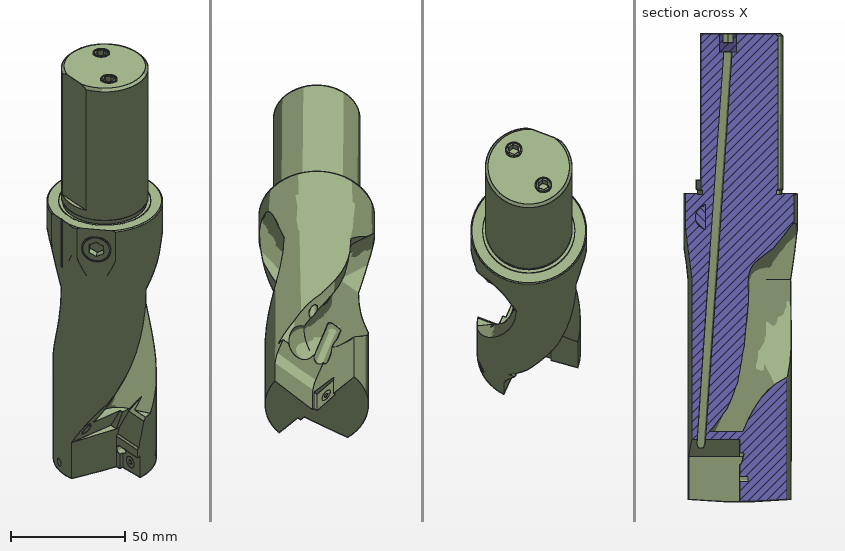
import cadquery as cq
import math


total_height = 205.26
shank_length = 70.0
collar_length = 15.4
cone_length = 22.3
collar_top = total_height - shank_length
collar_bottom = collar_top - collar_length
flute_top = collar_bottom - cone_length

shank_radius = 19.05
collar_radius = 25.4
body_radius = 22.65
tip_flat_radius = 4.0
tip_rise = 1.2
shank_chamfer = 1.2
collar_chamfer = 0.5
neck_radius = 18.5
neck_height = 1.8
neck_chamfer = 0.5
undercut_radius = 20.2
undercut_depth = 0.5

shank_flat_distance = 17.15
shank_flat_length = 64.2
collar_flat_distance = 24.4
plug_flat_distance = 23.9
plug_flat_angle = -48.0
mark_width = 0.7
mark_depth = 0.2
mark_bottom = 109.2

twist_rate = 0.01717
flute_sections = 9
flute_wall_x = -2.5
flute_radius = 10.7
flute_centre_x = flute_wall_x - flute_radius
flute_centre_y = -11.5
lip_angle = 120.0
lip_slope = 32.0
flute_reach = 34.0
channel_direction = cq.Vector(-0.6, -1.09, 1.0)
runout_direction = cq.Vector(-0.32, -0.85, 1.15)
runout_height = 24.5
inner_flute_end = 25.5
outer_flute_end = 31.0
outer_flute_angle = 195.0

reach = 60.0
tip_clearance = 1.0
inner_wall_x = 2.5
inner_wall_height = 11.3
roof_radius = 18.4
roof_angle = 30.4
inner_rake_rim_y = -1.67
inner_rake_core_y = 0.2
inner_seat_left = -10.2
inner_seat_right = 1.6
inner_seat_height = 11.7
outer_wall_rim_x = 4.3
outer_wall_core_x = 8.1
outer_pocket_height = 20.0
outer_roof_height = 38.0
outer_roof_x = 15.0
ramp_top_x = 18.0
outer_rake_y = 0.0
ramp_profile = [(outer_rake_y, 16.3), (0.8, 17.1), (4.0, 29.5), (14.0, 43.0)]
outer_seat_left = 10.5
outer_seat_right = body_radius + 1.0
outer_seat_height = 12.2
outer_seat_y = 1.67
relief_radius = 2.1
relief_depth = 2.0

screw_radius = 1.75
screw_head_radius = 2.7
screw_head_depth = 1.0
screw_socket_radius = 1.0
screw_socket_depth = 0.8
inner_screw_x = -4.3
inner_screw_z = 5.4
outer_screw_x = 15.7
outer_screw_z = 5.8

top_plug_radius = 3.6
top_plug_length = 8.0
top_plug_socket = 4.2
top_plug_centres = [(-9.2, 5.5), (9.2, -5.1)]
side_plug_radius = 6.5
side_plug_length = 7.0
side_plug_socket = 6.5
side_plug_z = collar_top - 10.4
plug_chamfer = 0.6

duct_radius = 1.8
duct_exits = [(-13.3, 14.2, 40.0), (8.1, -17.0, 23.7)]
groove_radius = 3.3
groove_start = cq.Vector(-7.0, -3.8, 52.5)
groove_end = cq.Vector(-6.0, 2.6, 27.0)


def turned_blank():
    neck_top = collar_top + neck_height
    profile = [
        (0, 0),
        (tip_flat_radius, 0),
        (body_radius, tip_rise),
        (body_radius, flute_top),
        (collar_radius, collar_bottom),
        (collar_radius, collar_top - collar_chamfer),
        (collar_radius - collar_chamfer, collar_top),
        (undercut_radius, collar_top),
        (undercut_radius, collar_top - undercut_depth),
        (neck_radius, collar_top - undercut_depth),
        (neck_radius, neck_top - neck_chamfer),
        (shank_radius, neck_top),
        (shank_radius, total_height - shank_chamfer),
        (shank_radius - shank_chamfer, total_height),
        (0, total_height),
    ]
    return cq.Workplane("XZ").polyline(profile).close().revolve(360, (0, 0), (0, 1))


def box_between(x_range, y_range, z_range):
    return (
        cq.Workplane("XY")
        .box(
            x_range[1] - x_range[0],
            y_range[1] - y_range[0],
            z_range[1] - z_range[0],
            centered=False,
        )
        .translate((x_range[0], y_range[0], z_range[0]))
    )


def collar_flat(distance, angle):
    cutter = box_between((distance, reach), (-reach, reach), (flute_top, collar_top))
    return cutter.rotate((0, 0, 0), (0, 0, 1), angle)


def cylinder_between(start, end, radius):
    axis = end - start
    return cq.Workplane(cq.Solid.makeCylinder(radius, axis.Length, start, axis))


def on_flute_arc(angle):
    return (
        flute_centre_x + flute_radius * math.cos(math.radians(angle)),
        flute_centre_y + flute_radius * math.sin(math.radians(angle)),
    )


def flute_section(z, angle):
    """J-shaped flute outline, open past the body surface, turned about Z."""
    lip = on_flute_arc(lip_angle)
    outer_y = lip[1] + (lip[0] + flute_reach) * math.tan(math.radians(lip_slope))
    outline = (
        cq.Workplane("XY")
        .moveTo(-flute_reach, outer_y)
        .lineTo(*lip)
        .threePointArc(on_flute_arc(lip_angle / 2), on_flute_arc(0))
        .lineTo(flute_wall_x, -flute_reach)
        .lineTo(-flute_reach, -flute_reach)
        .close()
        .val()
    )
    return outline.rotate(cq.Vector(), cq.Vector(0, 0, 1), angle).translate(cq.Vector(0, 0, z))


def flute(end_z, start_angle):
    """Cutters of one flute: the helical part and its run-out up through the cone."""
    sections = []
    for index in range(flute_sections):
        depth = (flute_top - end_z) * index / (flute_sections - 1)
        sections.append(flute_section(flute_top - depth, -twist_rate * depth**2))
    helix = cq.Solid.makeLoft(sections, False)
    top_section = flute_section(flute_top, 0)
    runouts = [
        cq.Solid.extrudeLinear(top_section, [], direction * (runout_height / direction.z))
        for direction in (channel_direction, runout_direction)
    ]
    centre = cq.Vector(flute_centre_x, flute_centre_y, flute_top)
    channel = cq.Solid.makeCylinder(flute_radius, flute_reach, centre, channel_direction)
    cutters = [helix, *runouts, channel, flute_ball(flute_top, 0)]
    return [c.rotate(cq.Vector(), cq.Vector(0, 0, 1), start_angle) for c in cutters]


def flute_ball(z, angle):
    ball = cq.Workplane("XY").sphere(flute_radius).translate((flute_centre_x, flute_centre_y, z))
    return ball.rotate((0, 0, 0), (0, 0, 1), angle).val()


def inner_chip_pocket():
    """Pocket on the -X side that opens toward +Y under a curved, sloping roof."""
    half_angle = math.radians(roof_angle / 2)
    full_angle = math.radians(roof_angle)
    arc_centre_x = inner_wall_x - roof_radius
    arc_mid = (
        arc_centre_x + roof_radius * math.cos(half_angle),
        inner_wall_height + roof_radius * math.sin(half_angle),
    )
    arc_end = (
        arc_centre_x + roof_radius * math.cos(full_angle),
        inner_wall_height + roof_radius * math.sin(full_angle),
    )
    roof_run = arc_end[0] + collar_radius
    roof_end = (-collar_radius, arc_end[1] + roof_run / math.tan(full_angle))
    side = (
        cq.Workplane("XZ")
        .moveTo(-collar_radius, -tip_clearance)
        .lineTo(inner_wall_x, -tip_clearance)
        .lineTo(inner_wall_x, inner_wall_height)
        .threePointArc(arc_mid, arc_end)
        .lineTo(*roof_end)
        .close()
        .extrude(reach, both=True)
    )
    plan = (
        cq.Workplane("XY")
        .polyline([
            (-body_radius, inner_rake_rim_y),
            (inner_wall_x, inner_rake_core_y),
            (inner_wall_x, reach),
            (-reach, reach),
            (-reach, inner_rake_rim_y),
        ])
        .close()
        .extrude(reach)
        .translate((0, 0, -tip_clearance))
    )
    return side.intersect(plan)


def outer_chip_pocket():
    """Pocket on the +X side that opens toward -Y."""
    plan = [
        (outer_wall_rim_x, -body_radius),
        (outer_wall_core_x, outer_rake_y),
        (reach, outer_rake_y),
        (reach, -body_radius),
    ]
    lower = cq.Workplane("XY").polyline(plan).close().extrude(outer_pocket_height)
    roof = (
        cq.Workplane("XZ")
        .polyline([
            (outer_wall_rim_x, outer_pocket_height),
            (outer_roof_x, outer_roof_height),
            (reach, outer_pocket_height),
        ])
        .close()
        .extrude(reach)
        .translate((0, outer_rake_y, 0))
    )
    ramp_side = (
        cq.Workplane("XZ")
        .polyline([
            (outer_wall_core_x, ramp_profile[0][1]),
            (outer_wall_core_x, outer_pocket_height),
            (outer_roof_x, outer_roof_height),
            (ramp_top_x, ramp_profile[-1][1]),
            (reach, ramp_profile[-1][1]),
            (reach, ramp_profile[0][1]),
        ])
        .close()
        .extrude(reach, both=True)
    )
    ramp_section = ramp_profile + [(-reach, ramp_profile[-1][1]), (-reach, ramp_profile[0][1])]
    ramp = cq.Workplane("YZ").polyline(ramp_section).close().extrude(reach).intersect(ramp_side)
    return lower, roof, ramp


def hex_plug(radius, length, socket_width):
    """Plug with its outer face on the XY plane and its length along -Z."""
    plug = cq.Workplane("XY").circle(radius).extrude(-length).faces(">Z").chamfer(plug_chamfer)
    socket = cq.Workplane("XY").polygon(6, socket_width / math.cos(math.pi / 6)).extrude(-length / 2)
    return plug.cut(socket)


def screw_blank(x, z, seat_y, direction):
    """Countersunk screw shape that starts on its seat and runs along Y."""
    seat = cq.Vector(x, seat_y, z)
    axis = cq.Vector(0, direction, 0)
    head = cq.Solid.makeCone(screw_head_radius, screw_radius, screw_head_depth, seat, axis)
    shank = cq.Solid.makeCylinder(screw_radius, reach, seat, axis)
    return cq.Workplane(head).union(cq.Workplane(shank))


def finished_screw(blank, x, z, seat_y, direction):
    socket = cq.Solid.makeCylinder(
        screw_socket_radius, screw_socket_depth, cq.Vector(x, seat_y, z), cq.Vector(0, direction, 0)
    )
    return blank.intersect(turned_blank()).cut(cq.Workplane(socket))


body = turned_blank()
body = body.cut(box_between(
    (-reach, reach), (-reach, -shank_flat_distance), (total_height - shank_flat_length, total_height)
))
body = body.cut(collar_flat(collar_flat_distance, -90))
body = body.cut(collar_flat(plug_flat_distance, plug_flat_angle))
body = body.cut(box_between(
    (-mark_width / 2, mark_width / 2),
    (-reach, mark_depth - collar_flat_distance),
    (mark_bottom, collar_top),
))

inner_end_twist = -twist_rate * (flute_top - inner_flute_end) ** 2
flute_cutters = flute(inner_flute_end, 0) + flute(outer_flute_end, outer_flute_angle)
flute_cutters.append(flute_ball(inner_flute_end, inner_end_twist))
for cutter in flute_cutters:
    body = body.cut(cq.Workplane(cutter))

body = body.cut(inner_chip_pocket())
body = body.cut(box_between(
    (inner_seat_left, inner_seat_right), (inner_rake_rim_y, reach), (-tip_clearance, inner_seat_height)
))
for cutter in outer_chip_pocket():
    body = body.cut(cutter)
body = body.cut(box_between(
    (outer_seat_left, outer_seat_right), (-body_radius, outer_seat_y), (-tip_clearance, outer_seat_height)
))
relief_centre = cq.Vector(outer_seat_left, outer_rake_y, outer_seat_height - relief_radius)
relief_end = relief_centre + cq.Vector(0, outer_seat_y + relief_depth, 0)
body = body.cut(cylinder_between(relief_centre, relief_end, relief_radius))

screws = []
for x, z, seat_y, direction in (
    (inner_screw_x, inner_screw_z, inner_rake_rim_y, -1),
    (outer_screw_x, outer_screw_z, outer_seat_y, 1),
):
    blank = screw_blank(x, z, seat_y, direction)
    body = body.cut(blank)
    screws.append(finished_screw(blank, x, z, seat_y, direction))

plugs = []
for (x, y), duct_exit in zip(top_plug_centres, duct_exits):
    plug_base = cq.Vector(x, y, total_height - top_plug_length)
    plug_top = cq.Vector(x, y, total_height)
    body = body.cut(cylinder_between(plug_base, plug_top, top_plug_radius))
    body = body.cut(cylinder_between(plug_base, cq.Vector(*duct_exit), duct_radius))
    plugs.append(hex_plug(top_plug_radius, top_plug_length, top_plug_socket).translate(plug_top.toTuple()))

angle = math.radians(plug_flat_angle)
outward = cq.Vector(math.cos(angle), math.sin(angle), 0)
flat_centre = outward * plug_flat_distance + cq.Vector(0, 0, side_plug_z)
body = body.cut(cylinder_between(flat_centre - outward * side_plug_length, flat_centre, side_plug_radius))
side_plug = (
    hex_plug(side_plug_radius, side_plug_length, side_plug_socket)
    .rotate((0, 0, 0), (0, 1, 0), 90)
    .rotate((0, 0, 0), (0, 0, 1), plug_flat_angle)
    .translate(flat_centre.toTuple())
)
plugs.append(side_plug)

body = body.cut(cylinder_between(groove_start, groove_end, groove_radius))
for end in (groove_start, groove_end):
    body = body.cut(cq.Workplane("XY").sphere(groove_radius).translate(end.toTuple()))

bodies = [body, *plugs, *screws]
result = cq.Compound.makeCompound([solid for part in bodies for solid in part.solids().vals()])